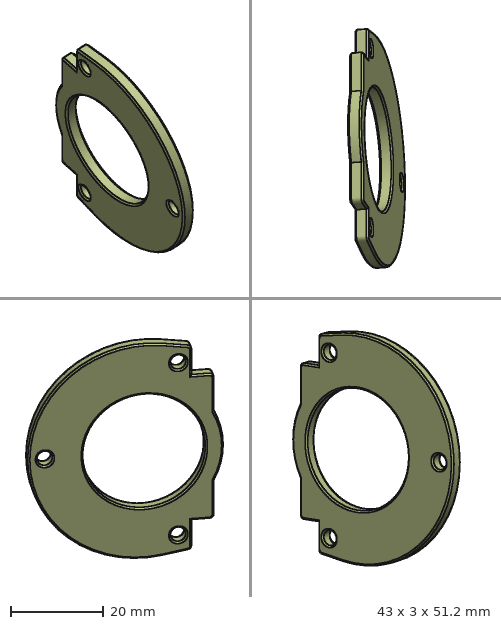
import cadquery as cq
import math

thickness = 3.0
outer_radius = 25.6
rim_radius = 17.4
bore_diameter = 27.0
edge_chamfer = 0.4
corner_radius = 1.0

flat_x = -15.35
step_x = -10.45
step_z = 17.3
tangent_angle = 9.1

hole_diameter = 3.4
pitch_radius = 21.85
hole_angles = (0, 110, -110)


def plate():
    angle = math.radians(tangent_angle)
    tangent_x = -outer_radius * math.sin(angle)
    tangent_z = outer_radius * math.cos(angle)
    tip_z = tangent_z - (tangent_x - step_x) * math.tan(angle)
    rim_z = math.sqrt(rim_radius**2 - flat_x**2)
    profile = (
        cq.Workplane("XZ", origin=(0, thickness / 2, 0))
        .moveTo(tangent_x, tangent_z)
        .threePointArc((outer_radius, 0), (tangent_x, -tangent_z))
        .lineTo(step_x, -tip_z)
        .lineTo(step_x, -step_z)
        .lineTo(flat_x, -step_z)
        .lineTo(flat_x, -rim_z)
        .threePointArc((-rim_radius, 0), (flat_x, rim_z))
        .lineTo(flat_x, step_z)
        .lineTo(step_x, step_z)
        .lineTo(step_x, tip_z)
        .close()
    )
    body = profile.extrude(thickness)
    for x, z in ((step_x, tip_z), (flat_x, step_z)):
        for side in (1, -1):
            corner = cq.selectors.NearestToPointSelector((x, 0, side * z))
            body = body.edges("|Y").edges(corner).fillet(corner_radius)
    return body


def drill(body, diameter, x, z):
    cutter = (
        cq.Workplane("XZ", origin=(x, thickness / 2, z))
        .circle(diameter / 2)
        .extrude(thickness)
    )
    return body.cut(cutter)


result = drill(plate(), bore_diameter, 0, 0)
for hole_angle in hole_angles:
    hole_x = pitch_radius * math.cos(math.radians(hole_angle))
    hole_z = pitch_radius * math.sin(math.radians(hole_angle))
    result = drill(result, hole_diameter, hole_x, hole_z)

result = result.faces("<Y or >Y").edges().chamfer(edge_chamfer)